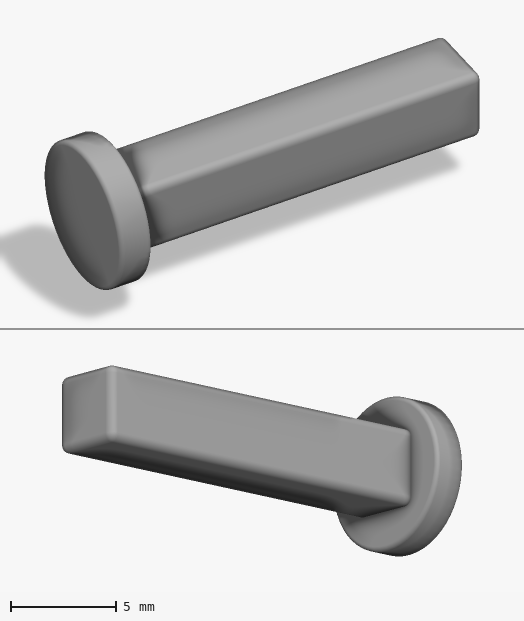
import cadquery as cq

total_length = 20.85
head_diameter = 7.5
head_thickness = 1.7
head_edge_radius = 0.2
shank_width = 3.75
shank_edge_radius = 0.4

head_front = -total_length / 2
shank_length = total_length - head_thickness


def make_head():
    """Round head with both rims rounded."""
    disc = cq.Workplane("XZ", origin=(0, head_front, 0)).circle(head_diameter / 2).extrude(-head_thickness)
    return disc.edges("%CIRCLE").fillet(head_edge_radius)


def make_shank():
    """Square shank with rounded long edges and a rounded free end."""
    shank_start = head_front + head_thickness
    bar = cq.Workplane("XZ", origin=(0, shank_start, 0)).rect(shank_width, shank_width).extrude(-shank_length)
    return bar.edges("|Y or >Y").fillet(shank_edge_radius)


result = make_head().union(make_shank())